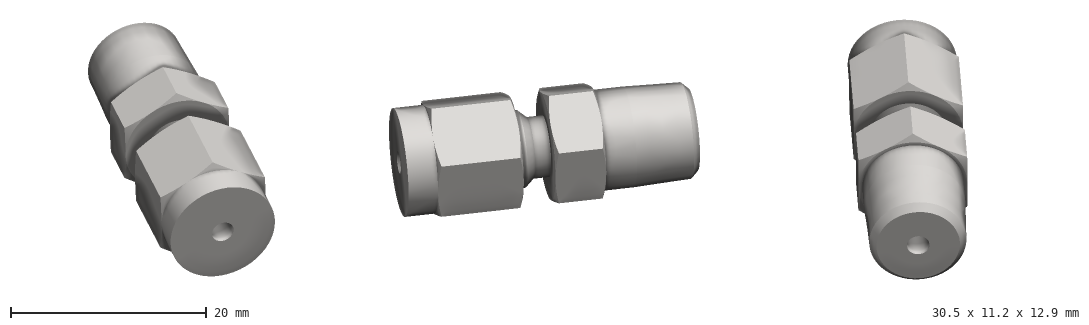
import cadquery as cq
import math

body_across_flats = 11.13
nut_across_flats = 11.2
chamfer_length = 0.37

length = 30.48
nose_chamfer_end = 0.73
taper_end = 6.7
body_hex_start = 9.97
body_hex_end = 15.25
neck_end = 16.9
cone_end = 17.8
nut_hex_start = 18.53
nut_hex_end = 27.43

nose_radius = 4.27
taper_small_radius = 4.97
thread_radius = 5.18
neck_radius = 3.17
collar_radius = 4.0
nut_end_radius = nut_across_flats / 2
bore_radius = 1.15


def revolve_profile(points):
    """Revolve an (x, radius) outline about the X axis."""
    return cq.Workplane("XY").polyline(points).close().revolve(360, (0, 0, 0), (1, 0, 0))


def chamfered_hex(start, end, across_flats):
    """Hexagonal prism along X whose corners are turned down by a cone at each end."""
    flat_radius = across_flats / 2
    corner_radius = flat_radius / math.cos(math.radians(30))
    prism = (
        cq.Workplane("YZ", origin=(start, 0, 0))
        .polygon(6, 2 * corner_radius)
        .extrude(end - start)
        .rotate((0, 0, 0), (1, 0, 0), 30)
    )
    turned_envelope = revolve_profile([
        (start, 0),
        (start, flat_radius),
        (start + chamfer_length, corner_radius),
        (end - chamfer_length, corner_radius),
        (end, flat_radius),
        (end, 0),
    ])
    return prism.intersect(turned_envelope)


turned_body = revolve_profile([
    (0, 0),
    (0, nose_radius),
    (nose_chamfer_end, taper_small_radius),
    (taper_end, thread_radius),
    (body_hex_start, thread_radius),
    (body_hex_start, neck_radius),
    (neck_end, neck_radius),
    (cone_end, collar_radius),
    (nut_hex_start, collar_radius),
    (nut_hex_start, 0),
])

body_hex = chamfered_hex(body_hex_start, body_hex_end, body_across_flats)
nut_hex = chamfered_hex(nut_hex_start, nut_hex_end, nut_across_flats)
nut_end = cq.Workplane("YZ", origin=(nut_hex_end, 0, 0)).circle(nut_end_radius).extrude(length - nut_hex_end)
bore = cq.Workplane("YZ").circle(bore_radius).extrude(length)

result = turned_body.union(body_hex).union(nut_hex).union(nut_end).cut(bore)